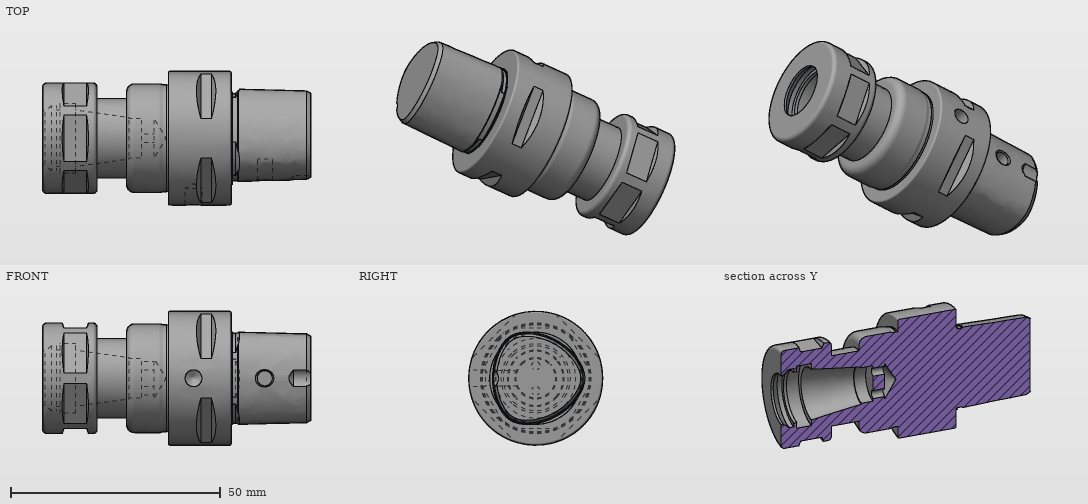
import cadquery as cq
import math


NUT_END = 13.0
RING_START = 20.0
COLLAR_START = 30.0
COLLAR_END = 45.0
TAPER_START = 46.7
LEAD_START = 63.0
TOTAL_LENGTH = 64.0

CUTTER_CLEARANCE = 1.0

NUT_RADIUS = 13.2
NUT_FILLET = 1.0
NUT_FLAT_DISTANCE = 12.0
NUT_FLAT_START = 5.1
NUT_FLAT_END = 10.5
NUT_FLAT_COUNT = 6
NUT_FLAT_FIRST_ANGLE = 0.0
NUT_WALL_SLOPE = 20.0

SHANK_RADIUS = 9.5
RING_RADIUS = 13.0
RING_FILLET = 2.0
RING_CHAMFER_START = 28.0
RING_CHAMFER_END = 28.75
RELIEF_RADIUS = 12.8
RELIEF_END = 29.5
RING_ROOT_RADIUS = 12.75

COLLAR_RADIUS = 16.0
COLLAR_FILLET = 0.45
COLLAR_FLAT_DISTANCE = 14.15
COLLAR_FLAT_START = 37.75
COLLAR_FLAT_END = 40.25
COLLAR_FLAT_COUNT = 4
COLLAR_FLAT_FIRST_ANGLE = 45.0
COLLAR_WALL_SLOPE = 30.0

DIMPLE_X = 36.0
DIMPLE_RADIUS = 2.0
DIMPLE_DEPTH = 4.0
DRILL_HALF_ANGLE = 59.0

POLYGON_RADIUS = 11.03
POLYGON_ECCENTRICITY = 0.7
POLYGON_POINTS = 72
LOBE_COUNT = 3
TAPER_SLOPE = 1 / 40
LEAD_DROP = 0.6

NECK_OFFSET = 0.2
NECK_STEP_LENGTH = 0.2
NECK_STEP_START = TAPER_START - NECK_STEP_LENGTH
NECK_RADIUS = 10.7
NECK_FILLET = 0.5
PAD_RADIUS = 11.0
ROOT_STEP_LENGTH = 0.25
PAD_HALF_ANGLE = 35.0
BACK_CONE_START = 46.0

SIDE_HOLE_X = 53.0
SIDE_HOLE_RADIUS = 1.8
SIDE_HOLE_MOUTH_RADIUS = 2.2
SIDE_HOLE_BOTTOM_Y = -5.0
NOTCH_RADIUS = 2.5
NOTCH_AXIS_Y = -11.4
NOTCH_START = 59.85

MOUTH_RADIUS = 6.5
MOUTH_LIP = 0.6
NUT_SEAT_RADIUS = 7.75
NUT_SEAT_CONE_END = 2.1
NUT_SEAT_END = 3.3
NUT_RIB_RADIUS = 6.75
NUT_RIB_END = 4.1
NUT_THREAD_RADIUS = 8.25
SHANK_FACE = 7.8
COLLET_MOUTH_RADIUS = 6.75
COLLET_END_RADIUS = 4.95
COLLET_HALF_ANGLE = 8.0
CAVITY_BOTTOM_RADIUS = 4.7
CAVITY_BOTTOM_DEPTH = 3.0

COOLANT_RADIUS = 1.0
COOLANT_OFFSET = 3.0
WEB_THICKNESS = 3.0


def tan_deg(angle):
    return math.tan(math.radians(angle))


def spin(profile):
    """Turn a closed (X, radius) profile around the X axis."""
    return profile.close().revolve(360, (0, 0, 0), (1, 0, 0))


def polygon_wire(x, radius):
    """Three-lobed constant-width outline at station x, from its support function."""
    points = []
    for i in range(POLYGON_POINTS):
        t = 2 * math.pi * i / POLYGON_POINTS
        support = radius + POLYGON_ECCENTRICITY * math.cos(LOBE_COUNT * t)
        slope = -LOBE_COUNT * POLYGON_ECCENTRICITY * math.sin(LOBE_COUNT * t)
        y = support * math.cos(t) - slope * math.sin(t)
        z = support * math.sin(t) + slope * math.cos(t)
        points.append(cq.Vector(x, y, z))
    edge = cq.Edge.makeSpline(points, periodic=True)
    return cq.Wire.assembleEdges([edge])


def polygon_solid(x_start, radius_start, x_end, radius_end):
    wires = [polygon_wire(x_start, radius_start), polygon_wire(x_end, radius_end)]
    return cq.Workplane(cq.Solid.makeLoft(wires, True))


def cylinder(x_start, x_end, radius):
    return cq.Workplane("YZ", origin=(x_start, 0, 0)).circle(radius).extrude(x_end - x_start)


def sloped_slot(x_start, x_end, floor, outer_radius, wall_slope):
    """Cutter for one flat of given distance from the axis, with sloped end walls, facing +Z."""
    top = outer_radius + CUTTER_CLEARANCE
    spread = (top - floor) * tan_deg(wall_slope)
    outline = [(x_start, floor), (x_end, floor), (x_end + spread, top), (x_start - spread, top)]
    return cq.Workplane("XZ").polyline(outline).close().extrude(outer_radius, both=True)


def cut_flats(body, cutter, count, first_angle):
    for i in range(count):
        body = body.cut(cutter.rotate((0, 0, 0), (1, 0, 0), first_angle + i * 360 / count))
    return body


def make_nut():
    nut = cylinder(0, NUT_END, NUT_RADIUS).edges().fillet(NUT_FILLET)
    cutter = sloped_slot(NUT_FLAT_START, NUT_FLAT_END, NUT_FLAT_DISTANCE, NUT_RADIUS, NUT_WALL_SLOPE)
    return cut_flats(nut, cutter, NUT_FLAT_COUNT, NUT_FLAT_FIRST_ANGLE)


def make_ring():
    return spin(
        cq.Workplane("XY")
        .moveTo(RING_START, 0)
        .lineTo(RING_START, RING_RADIUS - RING_FILLET)
        .radiusArc((RING_START + RING_FILLET, RING_RADIUS), RING_FILLET)
        .lineTo(RING_CHAMFER_START, RING_RADIUS)
        .lineTo(RING_CHAMFER_END, RELIEF_RADIUS)
        .lineTo(RELIEF_END, RELIEF_RADIUS)
        .lineTo(RELIEF_END, RING_ROOT_RADIUS)
        .lineTo(COLLAR_START, RING_ROOT_RADIUS)
        .lineTo(COLLAR_START, 0)
    )


def make_collar():
    collar = cylinder(COLLAR_START, COLLAR_END, COLLAR_RADIUS).edges().fillet(COLLAR_FILLET)
    cutter = sloped_slot(
        COLLAR_FLAT_START, COLLAR_FLAT_END, COLLAR_FLAT_DISTANCE, COLLAR_RADIUS, COLLAR_WALL_SLOPE
    )
    collar = cut_flats(collar, cutter, COLLAR_FLAT_COUNT, COLLAR_FLAT_FIRST_ANGLE)
    tip = DIMPLE_RADIUS / tan_deg(DRILL_HALF_ANGLE)
    floor = COLLAR_RADIUS - DIMPLE_DEPTH
    dimple = (
        cq.Workplane("XY")
        .moveTo(DIMPLE_X, -COLLAR_RADIUS)
        .lineTo(DIMPLE_X + DIMPLE_RADIUS, -COLLAR_RADIUS)
        .lineTo(DIMPLE_X + DIMPLE_RADIUS, -floor)
        .lineTo(DIMPLE_X, -floor + tip)
        .close()
        .revolve(360, (DIMPLE_X, 0, 0), (DIMPLE_X, 1, 0))
    )
    return collar.cut(dimple)


def make_taper():
    lead_radius = POLYGON_RADIUS - (LEAD_START - TAPER_START) * TAPER_SLOPE
    neck_radius = POLYGON_RADIUS - NECK_OFFSET
    neck = polygon_solid(COLLAR_END, neck_radius, NECK_STEP_START, neck_radius)
    step = polygon_solid(NECK_STEP_START, neck_radius, TAPER_START, POLYGON_RADIUS)
    taper = polygon_solid(TAPER_START, POLYGON_RADIUS, LEAD_START, lead_radius)
    lead = polygon_solid(LEAD_START, lead_radius, TOTAL_LENGTH, lead_radius - LEAD_DROP)
    polygon = neck.union(step).union(taper).union(lead)

    largest = POLYGON_RADIUS + 2 * POLYGON_ECCENTRICITY
    envelope = spin(
        cq.Workplane("XY")
        .moveTo(COLLAR_END, 0)
        .lineTo(COLLAR_END, NECK_RADIUS + NECK_FILLET)
        .radiusArc((COLLAR_END + NECK_FILLET, NECK_RADIUS), -NECK_FILLET)
        .lineTo(BACK_CONE_START, NECK_RADIUS)
        .lineTo(BACK_CONE_START + largest - NECK_RADIUS, largest)
        .lineTo(TOTAL_LENGTH, largest)
        .lineTo(TOTAL_LENGTH, 0)
    )
    reach = 2 * PAD_RADIUS
    half_width = reach * tan_deg(PAD_HALF_ANGLE)
    sector = (
        cq.Workplane("YZ", origin=(COLLAR_END, 0, 0))
        .polyline([(0, 0), (-reach, half_width), (-reach, -half_width)])
        .close()
        .extrude(TAPER_START - COLLAR_END)
    )
    pad = sector.intersect(cylinder(COLLAR_END, TAPER_START, PAD_RADIUS))
    for i in range(LOBE_COUNT):
        envelope = envelope.union(pad.rotate((0, 0, 0), (1, 0, 0), i * 360 / LOBE_COUNT))
    root = cylinder(COLLAR_END, COLLAR_END + ROOT_STEP_LENGTH, PAD_RADIUS)
    return polygon.intersect(envelope).union(root)


def make_side_hole():
    surface = -(POLYGON_RADIUS - POLYGON_ECCENTRICITY - (SIDE_HOLE_X - TAPER_START) * TAPER_SLOPE)
    flare = SIDE_HOLE_MOUTH_RADIUS - SIDE_HOLE_RADIUS
    return (
        cq.Workplane("XY")
        .moveTo(SIDE_HOLE_X, surface - flare)
        .lineTo(SIDE_HOLE_X + SIDE_HOLE_MOUTH_RADIUS + flare, surface - flare)
        .lineTo(SIDE_HOLE_X + SIDE_HOLE_RADIUS, surface + flare)
        .lineTo(SIDE_HOLE_X + SIDE_HOLE_RADIUS, SIDE_HOLE_BOTTOM_Y)
        .lineTo(SIDE_HOLE_X, SIDE_HOLE_BOTTOM_Y)
        .close()
        .revolve(360, (SIDE_HOLE_X, 0, 0), (SIDE_HOLE_X, 1, 0))
    )


def make_notch():
    notch = spin(
        cq.Workplane("XY")
        .moveTo(NOTCH_START - NOTCH_RADIUS, 0)
        .lineTo(NOTCH_START, NOTCH_RADIUS)
        .lineTo(TOTAL_LENGTH, NOTCH_RADIUS)
        .lineTo(TOTAL_LENGTH, 0)
    )
    return notch.translate((0, NOTCH_AXIS_Y, 0))


def make_cavity():
    cone_end = SHANK_FACE + (COLLET_MOUTH_RADIUS - COLLET_END_RADIUS) / tan_deg(COLLET_HALF_ANGLE)
    floor = cone_end + CAVITY_BOTTOM_DEPTH
    cavity = spin(
        cq.Workplane("XY")
        .moveTo(0, 0)
        .lineTo(0, MOUTH_RADIUS)
        .lineTo(MOUTH_LIP, MOUTH_RADIUS)
        .lineTo(NUT_SEAT_CONE_END, NUT_SEAT_RADIUS)
        .lineTo(NUT_SEAT_END, NUT_SEAT_RADIUS)
        .lineTo(NUT_SEAT_END, NUT_RIB_RADIUS)
        .lineTo(NUT_RIB_END, NUT_RIB_RADIUS)
        .lineTo(NUT_RIB_END, NUT_THREAD_RADIUS)
        .lineTo(SHANK_FACE, NUT_THREAD_RADIUS)
        .lineTo(SHANK_FACE, COLLET_MOUTH_RADIUS)
        .lineTo(cone_end, COLLET_END_RADIUS)
        .lineTo(cone_end, CAVITY_BOTTOM_RADIUS)
        .lineTo(floor, CAVITY_BOTTOM_RADIUS)
        .lineTo(floor, 0)
    )
    chamber_start = floor + WEB_THICKNESS
    chamber_depth = CAVITY_BOTTOM_RADIUS / tan_deg(DRILL_HALF_ANGLE)
    chamber = spin(
        cq.Workplane("XY")
        .moveTo(chamber_start, 0)
        .lineTo(chamber_start, CAVITY_BOTTOM_RADIUS)
        .lineTo(chamber_start + chamber_depth, 0)
    )
    cavity = cavity.union(chamber)
    coolant_hole = cylinder(floor, chamber_start, COOLANT_RADIUS)
    for side in (1, -1):
        cavity = cavity.union(coolant_hole.translate((0, 0, side * COOLANT_OFFSET)))
    return cavity


shank = cylinder(NUT_END / 2, RING_START + RING_FILLET, SHANK_RADIUS)
body = make_nut().union(shank).union(make_ring()).union(make_collar()).union(make_taper())
result = body.cut(make_cavity()).cut(make_side_hole()).cut(make_notch())